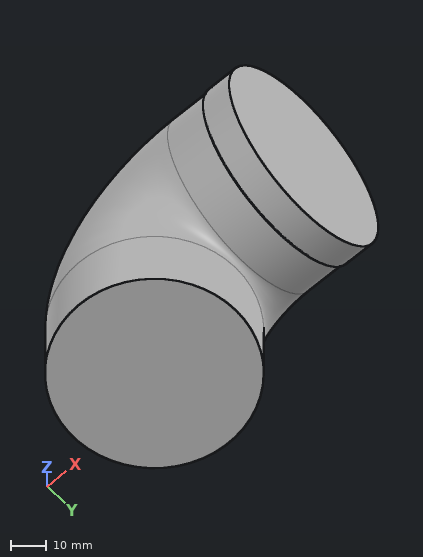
import cadquery as cq

tube_diameter = 61.95
collar_diameter = 63.0
bend_radius = 33.0
leg_length = 24.0
collar_length = 10.0

outlet_height = leg_length + bend_radius
outlet_end = bend_radius + leg_length


def make_inlet_leg():
    """Vertical straight leg, standing on Z = 0."""
    return cq.Workplane("XY").circle(tube_diameter / 2).extrude(leg_length)


def make_bend():
    """Quarter-turn bend from +Z to +X."""
    return (
        cq.Workplane("XY", origin=(0, 0, leg_length))
        .circle(tube_diameter / 2)
        .revolve(90, (bend_radius, 0, 0), (bend_radius, 1, 0))
    )


def make_outlet_cylinder(start_x, diameter):
    """Horizontal cylinder from start_x to the outlet end face."""
    return (
        cq.Workplane("YZ", origin=(start_x, 0, outlet_height))
        .circle(diameter / 2)
        .extrude(outlet_end - start_x)
    )


outlet_leg = make_outlet_cylinder(bend_radius, tube_diameter)
collar = make_outlet_cylinder(outlet_end - collar_length, collar_diameter)

result = make_inlet_leg().union(make_bend()).union(outlet_leg).union(collar)